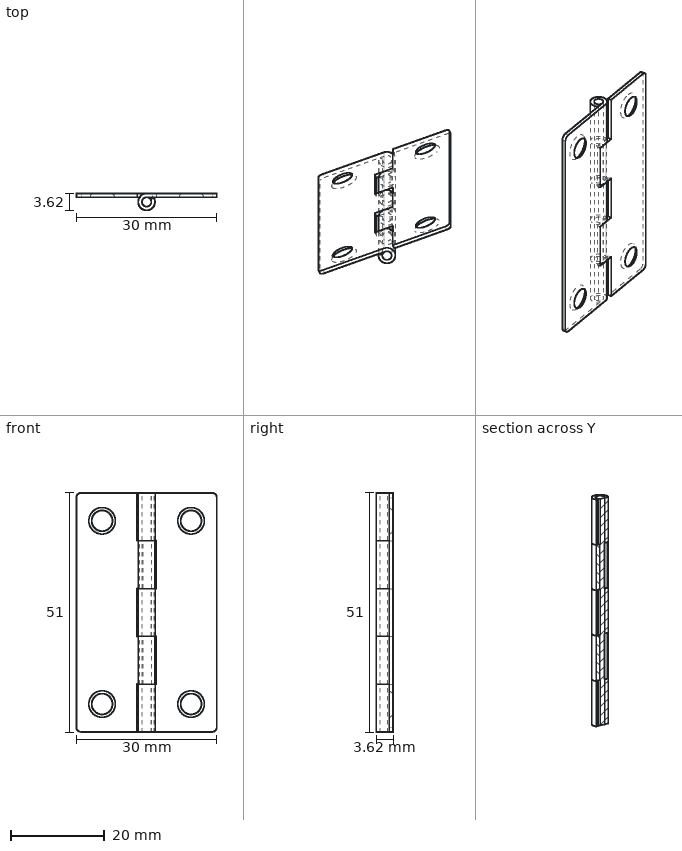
import cadquery as cq
import math

height = 51.0
width = 30.0
knuckle_count = 5
barrel_radius = 1.81
sheet_thickness = 0.8
knuckle_gap = 0.23
curl_end_angle = 32.0
corner_radius = 1.0
hole_offset_x = 9.5
hole_offset_z = 19.55
hole_diameter = 4.4
countersink_diameter = 5.65

pin_radius = barrel_radius - sheet_thickness
knuckle_height = height / knuckle_count
leaf_edge_x = barrel_radius + knuckle_gap
leaf_width = width / 2 - leaf_edge_x


def polar_point(radius, degrees):
    angle = math.radians(degrees)
    return (radius * math.cos(angle), radius * math.sin(angle))


def make_plate():
    """Flat part of the right leaf, with its two outer corners rounded."""
    plate = cq.Workplane("XY").box(leaf_width, sheet_thickness, height, centered=False)
    plate = plate.translate((leaf_edge_x, pin_radius, -height / 2))
    return plate.edges("|Y and >X").fillet(corner_radius)


def make_knuckle(index):
    """Strip that leaves the plate, meets the barrel tangentially and curls around the pin."""
    bottom_z = -height / 2 + index * knuckle_height
    middle_angle = (90 + 360 + curl_end_angle) / 2
    return (
        cq.Workplane("XY", origin=(0, 0, bottom_z))
        .moveTo(leaf_edge_x, barrel_radius)
        .lineTo(0, barrel_radius)
        .threePointArc(polar_point(barrel_radius, middle_angle), polar_point(barrel_radius, curl_end_angle))
        .lineTo(*polar_point(pin_radius, curl_end_angle))
        .threePointArc(polar_point(pin_radius, middle_angle), (0, pin_radius))
        .lineTo(leaf_edge_x, pin_radius)
        .close()
        .extrude(knuckle_height)
    )


def make_screw_hole(z):
    """Cone through the sheet, widest on the barrel side (-Y)."""
    cone = cq.Solid.makeCone(
        countersink_diameter / 2,
        hole_diameter / 2,
        sheet_thickness,
        pnt=cq.Vector(hole_offset_x, pin_radius, z),
        dir=cq.Vector(0, 1, 0),
    )
    return cq.Workplane(obj=cone)


def make_leaf(first_knuckle):
    """Right-hand leaf carrying every second knuckle, counted from the bottom."""
    leaf = make_plate()
    for index in range(first_knuckle, knuckle_count, 2):
        leaf = leaf.union(make_knuckle(index))
    for z in (-hole_offset_z, hole_offset_z):
        leaf = leaf.cut(make_screw_hole(z))
    return leaf


def make_pin():
    return cq.Workplane("XY", origin=(0, 0, -height / 2)).circle(pin_radius).extrude(height)


right_leaf = make_leaf(first_knuckle=0)
left_leaf = make_leaf(first_knuckle=1).mirror("YZ")
pin = make_pin()

bodies = [right_leaf.solids().val(), left_leaf.solids().val(), pin.val()]
result = cq.Compound.makeCompound(bodies)